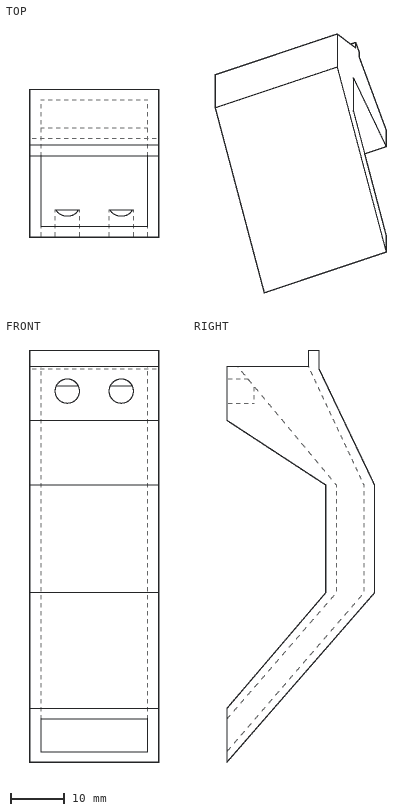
import cadquery as cq

width = 24.0
depth = 27.5
height = 76.5
wall = 2.0
side_wall = 2.15

mouth_height = 10.0
lower_bend_z = 31.5
upper_bend_z = 51.5
neck_front_y = 18.35
lip_height = 3.0
rim_z = height - lip_height
lip_front_y = 15.15
lip_back_y = lip_front_y + wall
lip_base_z = 73.05

hole_diameter = 4.5
hole_depth = 5.05
hole_spacing = 10.0
hole_z = 68.9


def extrude_profile(points, thickness):
    """Extrude a (Y, Z) outline symmetrically about the X = 0 plane."""
    return cq.Workplane("YZ").polyline(points).close().extrude(thickness / 2, both=True)


body = extrude_profile(
    [
        (0, 0),
        (0, mouth_height),
        (neck_front_y, lower_bend_z),
        (neck_front_y, upper_bend_z),
        (0, rim_z - mouth_height),
        (0, rim_z),
        (lip_front_y, rim_z),
        (lip_front_y, height),
        (lip_back_y, height),
        (lip_back_y, lip_base_z),
        (depth, upper_bend_z),
        (depth, lower_bend_z),
    ],
    width,
)

channel = extrude_profile(
    [
        (0, wall),
        (0, mouth_height - wall),
        (neck_front_y + wall, lower_bend_z),
        (neck_front_y + wall, upper_bend_z),
        (wall, rim_z),
        (lip_front_y, rim_z),
        (depth - wall, upper_bend_z),
        (depth - wall, lower_bend_z),
    ],
    width - 2 * side_wall,
)

holes = (
    cq.Workplane("XZ")
    .pushPoints([(-hole_spacing / 2, hole_z), (hole_spacing / 2, hole_z)])
    .circle(hole_diameter / 2)
    .extrude(-hole_depth)
)

result = body.cut(channel).cut(holes)